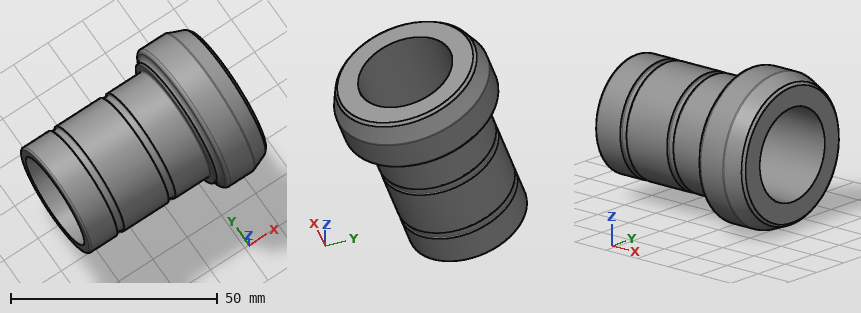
import cadquery as cq
import math


length = 50.0
bore_entry_radius = 12.6
bore_exit_radius = 12.0

tail_radius = 15.1
tail_end_fillet = 0.5
shoulder_x = 35.0
shoulder_root_fillet = 0.2

groove_starts = (8.0, 23.0)
groove_width = 2.0
groove_depth = 0.45
groove_root_fillet = 0.2

head_radius = 19.75
collar_radius = 17.1
collar_edge_fillet = 0.2
throat_radius = 1.8
back_x = 36.85
back_fillet = 0.95
taper_start_x = 44.75
taper_angle = math.radians(22)
taper_blend_radius = 0.8
nose_chamfer_x = 49.3
nose_radius = 17.25

DIAGONAL = math.sqrt(0.5)


def add_groove(profile, start_x):
    """Square groove with rounded bottom corners, cut into the tail outline."""
    end_x = start_x + groove_width
    floor_radius = tail_radius - groove_depth
    fillet = groove_root_fillet
    inset = fillet * (1 - DIAGONAL)
    return (
        profile.lineTo(start_x, tail_radius)
        .lineTo(start_x, floor_radius + fillet)
        .threePointArc((start_x + inset, floor_radius + inset), (start_x + fillet, floor_radius))
        .lineTo(end_x - fillet, floor_radius)
        .threePointArc((end_x - inset, floor_radius + inset), (end_x, floor_radius + fillet))
        .lineTo(end_x, tail_radius)
    )


def add_tail(profile):
    """Tail outline from the open end to the shoulder of the head."""
    inset = tail_end_fillet * (1 - DIAGONAL)
    root_inset = shoulder_root_fillet * (1 - DIAGONAL)
    profile = profile.lineTo(0, tail_radius - tail_end_fillet).threePointArc(
        (inset, tail_radius - inset),
        (tail_end_fillet, tail_radius),
    )
    for start_x in groove_starts:
        profile = add_groove(profile, start_x)
    return profile.lineTo(shoulder_x - shoulder_root_fillet, tail_radius).threePointArc(
        (shoulder_x - root_inset, tail_radius + root_inset),
        (shoulder_x, tail_radius + shoulder_root_fillet),
    )


def add_head(profile):
    """Head outline: collar, concave throat, rounded back, rim, taper and nose chamfer."""
    edge_inset = collar_edge_fillet * (1 - DIAGONAL)
    back_inset = back_fillet * (1 - DIAGONAL)
    throat_top = head_radius - back_fillet
    throat_angle = math.asin((throat_top - collar_radius) / throat_radius)
    throat_middle_angle = throat_angle / 2
    collar_end_x = back_x - throat_radius * (1 - math.cos(throat_angle))
    throat_middle = (
        back_x - throat_radius * (1 - math.cos(throat_middle_angle)),
        throat_top - throat_radius * math.sin(throat_middle_angle),
    )
    blend_length = taper_blend_radius * math.sin(taper_angle)
    blend_drop = taper_blend_radius * (1 - math.cos(taper_angle))
    blend_middle = (
        taper_start_x + taper_blend_radius * math.sin(taper_angle / 2),
        head_radius - taper_blend_radius * (1 - math.cos(taper_angle / 2)),
    )
    taper_x = taper_start_x + blend_length
    taper_radius = head_radius - blend_drop
    chamfer_radius = taper_radius - (nose_chamfer_x - taper_x) * math.tan(taper_angle)
    return (
        profile.lineTo(shoulder_x, collar_radius - collar_edge_fillet)
        .threePointArc(
            (shoulder_x + edge_inset, collar_radius - edge_inset),
            (shoulder_x + collar_edge_fillet, collar_radius),
        )
        .lineTo(collar_end_x, collar_radius)
        .threePointArc(throat_middle, (back_x, throat_top))
        .threePointArc(
            (back_x + back_inset, head_radius - back_inset),
            (back_x + back_fillet, head_radius),
        )
        .lineTo(taper_start_x, head_radius)
        .threePointArc(blend_middle, (taper_x, taper_radius))
        .lineTo(nose_chamfer_x, chamfer_radius)
        .lineTo(length, nose_radius)
    )


outline = cq.Workplane("XZ").moveTo(0, bore_entry_radius)
outline = add_tail(outline)
outline = add_head(outline)
outline = outline.lineTo(length, bore_exit_radius).close()

result = outline.revolve(360, (0, 0, 0), (1, 0, 0))